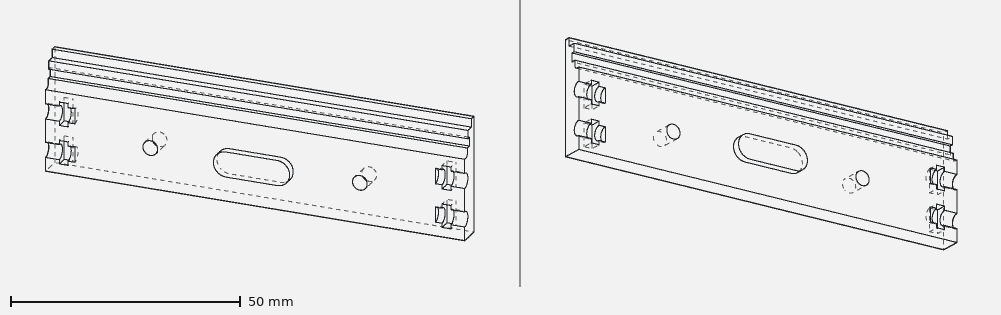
import cadquery as cq

length = 99.0
height = 27.4
plate_thickness = 5.2
boss_protrusion = 2.0

lip_height = 2.0
rib_height = 2.0
groove_height = 2.1
ledge_height = 2.1
lip_depth = 1.5
rib_depth = 3.5
groove_depth = 2.6
ledge_depth = 3.8
cove_radius = 0.8

boss_length = 18.0
boss_width = 5.9
center_height = 9.6
hole_diameter = 3.5
hole_spacing = 49.5

channel_radius = 1.8
channel_length = 6.9
channel_spacing = 9.1
pocket_inset = 3.3
pocket_width = 2.1
pocket_height = 5.5
pocket_depth = 2.8

front_y = -plate_thickness


def box(x_start, x_size, y_start, y_size, z_center, z_size):
    center = (x_start + x_size / 2, y_start + y_size / 2, z_center)
    return cq.Workplane("XY").box(x_size, y_size, z_size).translate(center)


def make_plate():
    rib_top = height - lip_height
    rib_bottom = rib_top - rib_height
    ledge_top = rib_bottom - groove_height
    shoulder = ledge_top - ledge_height
    profile = (
        cq.Workplane("YZ", origin=(-length / 2, 0, 0))
        .moveTo(0, 0)
        .lineTo(0, height)
        .lineTo(-lip_depth, height)
        .lineTo(-lip_depth, rib_top)
        .lineTo(-rib_depth, rib_top)
        .lineTo(-rib_depth, rib_bottom)
        .lineTo(-groove_depth, rib_bottom)
        .lineTo(-groove_depth, ledge_top)
        .lineTo(-ledge_depth, ledge_top)
        .lineTo(-ledge_depth, shoulder)
        .lineTo(front_y, shoulder)
        .lineTo(front_y, 0)
        .close()
    )
    plate = profile.extrude(length)
    corner = cq.selectors.NearestToPointSelector((0, -ledge_depth, shoulder))
    return plate.edges(corner).fillet(cove_radius)


def make_boss():
    return (
        cq.Workplane("XZ", origin=(0, 0, center_height))
        .slot2D(boss_length, boss_width)
        .extrude(plate_thickness + boss_protrusion)
    )


def make_holes():
    return (
        cq.Workplane("XZ", origin=(0, 0, center_height))
        .pushPoints([(-hole_spacing / 2, 0), (hole_spacing / 2, 0)])
        .circle(hole_diameter / 2)
        .extrude(plate_thickness)
    )


def make_left_socket(z):
    channel = (
        cq.Workplane("YZ", origin=(-length / 2, front_y, z))
        .circle(channel_radius)
        .extrude(channel_length)
    )
    pocket_start = pocket_inset - length / 2
    pocket = box(pocket_start, pocket_width, front_y, pocket_depth, z, pocket_height)
    return channel.union(pocket)


result = make_plate().union(make_boss()).cut(make_holes())
for side in (-1, 1):
    socket = make_left_socket(center_height + side * channel_spacing / 2)
    result = result.cut(socket).cut(socket.mirror("YZ"))